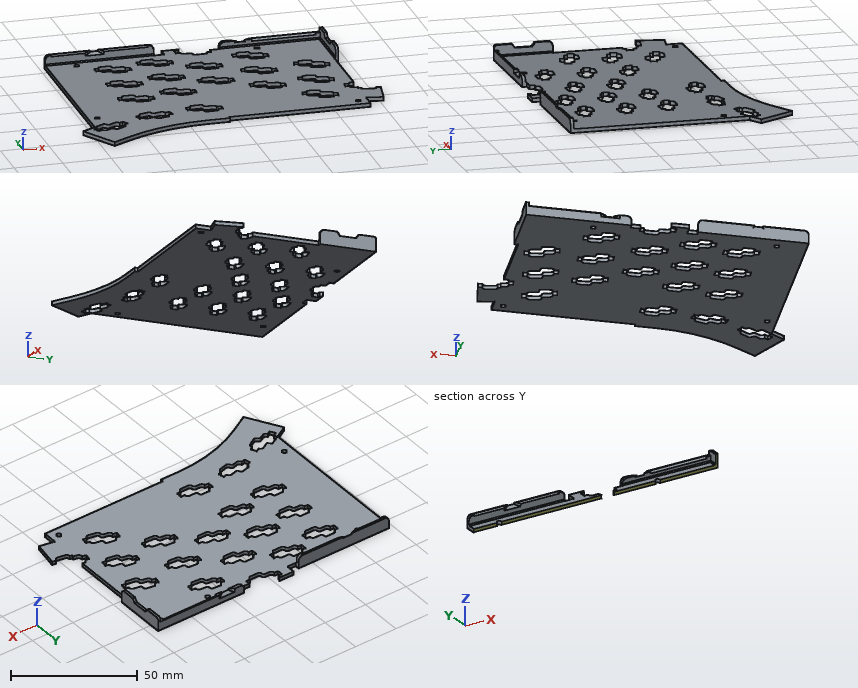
import cadquery as cq
import math

plate_thickness = 1.7
body_width = 112.7
body_height = 75.2

wing_angle = 30
wing_corner = (-5.7, 0.1)
wing_end_length = 17.5
wing_arc_radius = 69.2
wing_flat_y = -1.3
wing_flat_end_x = 54.5

outer_column_angle = -10
side_tab_y = 6.5
side_tab_reach = 7.0
side_tab_end_length = 11.7

back_tab_left = 48.8
back_tab_right = 56.7
back_tab_y = 79.3

screw_diameter = 2.0
screw_points = [(12.0, 72.3), (86.2, 72.3), (3.8, 13.0), (108.8, 4.0)]

key_pitch = 17.0
lobe_half_length = 5.2
lobe_outer_y = 4.0
lobe_inner_y = 1.8
lobe_radius = 1.4
lower_step_radius = 1.0
upper_step_radius = 0.4
lower_step_x = (-1.0, -0.6)
upper_step_x = (0.5, 0.0)
pad_half_length = 7.0
pad_outer_y = 2.4
pad_inner_y = -0.3
key_columns = [
    ((24.7, 30.3), 0, 3),
    ((42.7, 33.1), 0, 3),
    ((60.7, 41.5), 0, 3),
    ((79.1, 31.0), -4, 3),
    ((96.4, 15.6), outer_column_angle, 3),
    ((115.1, 20.2), outer_column_angle, 1),
    ((47.7, 12.3), 0, 1),
    ((26.5, 10.0), 15, 1),
    ((6.5, 2.5), wing_angle, 1),
]

flange_setback = 0.5
flange_thickness = 1.4
side_flange_thickness = 1.1
flange_outset = flange_setback + flange_thickness
flange_end_radius = 2.0
lead_in_margin = 2.5
left_flange_end = 44.8
left_flange_top = 5.7
left_lead_in = (1.0, 0.5)
right_flange_start = 71.7
right_flange_top = 4.2
right_lead_in = (1.0, 0.8)
right_lead_in_gap = 0.8
right_lead_in_end_margin = 1.3
side_flange_start = 52.9
side_flange_top = 6.2
side_flange_rear_radius = 1.0

wide_notch = (8.1, 7.4, 1.7)
narrow_notch = (3.5, 2.8, 0.5)
left_notch_x = 20.4
right_notch_x = 80.3
side_notch = (9.4, 7.0, 1.7)
side_notch_y = 65.0

cut_margin = 1.3


def step(point, angle, distance):
    """Point reached from `point` by going `distance` along `angle` degrees."""
    a = math.radians(angle)
    return (point[0] + distance * math.cos(a), point[1] + distance * math.sin(a))


def rounded_outline(plane, corners):
    """Closed wire through (x, y, radius) corners, each rounded when its radius is not zero."""
    stops = []
    for i, (x, y, radius) in enumerate(corners):
        corner = cq.Vector(x, y)
        before = (cq.Vector(*corners[i - 1][:2]) - corner).normalized()
        after = (cq.Vector(*corners[(i + 1) % len(corners)][:2]) - corner).normalized()
        if radius == 0:
            stops.append((corner, None, corner))
            continue
        half = before.getAngle(after) / 2
        trim = radius / math.tan(half)
        middle = (before + after).normalized() * (radius / math.sin(half) - radius)
        stops.append((corner + before * trim, corner + middle, corner + after * trim))

    wire = cq.Workplane(plane).moveTo(*stops[0][2].toTuple()[:2])
    for start, middle, end in stops[1:] + stops[:1]:
        wire = wire.lineTo(*start.toTuple()[:2])
        if middle is not None:
            wire = wire.threePointArc(middle.toTuple()[:2], end.toTuple()[:2])
    return wire.close()


def plate():
    """Flat plate with the thumb wing, the side tab and the back tab."""
    angle = math.radians(wing_angle)
    wing_tip = step(wing_corner, wing_angle - 90, wing_end_length)
    wing_root = (0, wing_corner[1] - wing_corner[0] * math.tan(angle))
    arc_start_y = wing_flat_y - wing_arc_radius * (1 - math.cos(angle))
    arc_start = step(wing_tip, wing_angle, (arc_start_y - wing_tip[1]) / math.sin(angle))
    arc_end = (arc_start[0] + wing_arc_radius * math.sin(angle), wing_flat_y)
    arc_centre = (arc_end[0], arc_end[1] - wing_arc_radius)
    arc_middle = step(arc_centre, 90 + wing_angle / 2, wing_arc_radius)

    tab_root = (body_width, side_tab_y)
    tab_corner = step(tab_root, outer_column_angle, side_tab_reach)
    tab_tip = step(tab_corner, 90 + outer_column_angle, side_tab_end_length)
    tab_top = step(tab_tip, 180 + outer_column_angle, side_tab_reach)

    return (
        cq.Workplane("XY")
        .moveTo(*wing_root)
        .lineTo(*wing_corner)
        .lineTo(*wing_tip)
        .lineTo(*arc_start)
        .threePointArc(arc_middle, arc_end)
        .lineTo(wing_flat_end_x, wing_flat_y)
        .lineTo(wing_flat_end_x, 0)
        .lineTo(body_width, 0)
        .lineTo(*tab_root)
        .lineTo(*tab_corner)
        .lineTo(*tab_tip)
        .lineTo(body_width, tab_top[1])
        .lineTo(body_width, body_height)
        .lineTo(back_tab_right, body_height)
        .lineTo(back_tab_right, back_tab_y)
        .lineTo(back_tab_left, back_tab_y)
        .lineTo(back_tab_left, body_height)
        .lineTo(0, body_height)
        .close()
        .extrude(plate_thickness)
    )


def key_socket():
    """Cutter for one key socket: two offset lobes with a contact pad at each end."""
    corners = [
        (-pad_half_length, pad_inner_y, 0),
        (-lobe_half_length, pad_inner_y, 0),
        (-lobe_half_length, -lobe_inner_y, lobe_radius),
        (lower_step_x[0], -lobe_inner_y, lower_step_radius),
        (lower_step_x[1], -lobe_outer_y, lower_step_radius),
        (lobe_half_length, -lobe_outer_y, lobe_radius),
        (lobe_half_length, -pad_outer_y, 0),
        (pad_half_length, -pad_outer_y, 0),
        (pad_half_length, -pad_inner_y, 0),
        (lobe_half_length, -pad_inner_y, 0),
        (lobe_half_length, lobe_inner_y, lobe_radius),
        (upper_step_x[0], lobe_inner_y, upper_step_radius),
        (upper_step_x[1], lobe_outer_y, upper_step_radius),
        (-lobe_half_length, lobe_outer_y, lobe_radius),
        (-lobe_half_length, pad_outer_y, 0),
        (-pad_half_length, pad_outer_y, 0),
    ]
    return rounded_outline("XY", corners).extrude(plate_thickness)


def key_sockets():
    """Socket cutters for every key of every column."""
    socket = key_socket().val()
    cutters = []
    for first, tilt, count in key_columns:
        for row in range(count):
            x, y = step(first, 90 + tilt, row * key_pitch)
            cutters.append(socket.rotate((0, 0, 0), (0, 0, 1), tilt).translate((x, y, 0)))
    return cutters


def back_flange(start, end, top, end_radii):
    """Upright wall on the back edge with rounded upper corners and a beveled foot."""
    corners = [(start, 0, 0), (end, 0, 0), (end, top, end_radii[1]), (start, top, end_radii[0])]
    wall = rounded_outline("XZ", corners).extrude(-flange_outset).translate((0, body_height, 0))
    inner_y = body_height + flange_setback
    relief = (
        cq.Workplane("YZ")
        .polyline([
            (body_height, plate_thickness),
            (inner_y, plate_thickness + flange_setback),
            (inner_y, top + cut_margin),
            (body_height, top + cut_margin),
        ])
        .close()
        .extrude(end - start)
        .translate((start, 0, 0))
    )
    return wall.cut(relief)


def lead_in(start, end, top, size):
    """Cutter that bevels the inner top edge of a back flange."""
    depth, drop = size
    inner_y = body_height + flange_setback
    return (
        cq.Workplane("YZ")
        .polyline([(inner_y, top - drop), (inner_y + depth, top), (inner_y, top)])
        .close()
        .extrude(end - start)
        .translate((start, 0, 0))
    )


def trapezoid(workplane, centre, top, size):
    """Downward-narrowing notch profile whose mouth is at height `top`."""
    mouth, floor, depth = size
    return workplane.polyline([
        (centre - mouth / 2, top),
        (centre - floor / 2, top - depth),
        (centre + floor / 2, top - depth),
        (centre + mouth / 2, top),
    ]).close()


def flared_notch(centre, top, inner_size, outer_size):
    """Cutter for a back flange notch that changes size from the inner to the outer face."""
    inner_plane = cq.Workplane("XZ", origin=(0, body_height + flange_setback, 0))
    profile = trapezoid(inner_plane, centre, top, inner_size).workplane(offset=-flange_thickness)
    return trapezoid(profile, centre, top, outer_size).loft(ruled=True)


def left_flange():
    """Taller back flange whose notch is wide on the inner face."""
    wall = back_flange(0, left_flange_end, left_flange_top, (flange_end_radius, flange_end_radius))
    bevel = lead_in(lead_in_margin, left_flange_end - lead_in_margin, left_flange_top, left_lead_in)
    notch = flared_notch(left_notch_x, left_flange_top, wide_notch, narrow_notch)
    return wall.cut(bevel).cut(notch)


def right_flange():
    """Lower back flange whose notch is wide on the outer face."""
    end = body_width + flange_setback
    wall = back_flange(right_flange_start, end, right_flange_top, (flange_end_radius, 0))
    bevel_start = right_notch_x + wide_notch[0] / 2 + right_lead_in_gap
    bevel_end = body_width - right_lead_in_end_margin
    bevel = lead_in(bevel_start, bevel_end, right_flange_top, right_lead_in)
    notch = flared_notch(right_notch_x, right_flange_top, narrow_notch, wide_notch)
    return wall.cut(bevel).cut(notch)


def side_flange():
    """Upright wall on the right edge with a wide notch and a beveled foot."""
    rear_y = body_height + flange_outset
    mouth, floor, depth = side_notch
    notch_floor = side_flange_top - depth
    corners = [
        (side_flange_start, 0, 0),
        (rear_y, 0, 0),
        (rear_y, side_flange_top, side_flange_rear_radius),
        (side_notch_y + mouth / 2, side_flange_top, 0),
        (side_notch_y + floor / 2, notch_floor, 0),
        (side_notch_y - floor / 2, notch_floor, 0),
        (side_notch_y - mouth / 2, side_flange_top, 0),
        (side_flange_start, side_flange_top, flange_end_radius),
    ]
    inner_x = body_width + flange_setback
    wall = rounded_outline("YZ", corners).extrude(side_flange_thickness).translate((inner_x, 0, 0))
    foot = (
        cq.Workplane("XZ")
        .polyline([
            (body_width, 0),
            (inner_x, 0),
            (inner_x, plate_thickness + flange_setback),
            (body_width, plate_thickness),
        ])
        .close()
        .extrude(side_flange_start - body_height - flange_setback)
        .translate((0, side_flange_start, 0))
    )
    return wall.union(foot)


openings = cq.Workplane("XY").pushPoints(screw_points).circle(screw_diameter / 2).extrude(plate_thickness)

result = plate().union(left_flange()).union(right_flange()).union(side_flange())
result = result.cut(openings)
for cutter in key_sockets():
    result = result.cut(cq.Workplane(cutter))